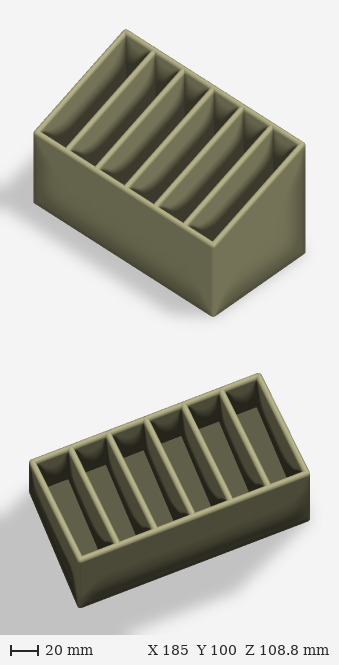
import math

import cadquery as cq

width = 185.0
depth = 100.0
front_height = 70.0
top_slope = 0.4

pocket_count = 6
wall = 5.0
floor = 5.0
wall_pitch = (width - wall) / pocket_count

rim_radius = wall / 2
slope_angle = math.atan(top_slope)
front_y = rim_radius
back_y = depth - rim_radius
left_x = rim_radius
right_x = width - rim_radius
front_axis_z = front_height + top_slope * front_y - rim_radius / math.cos(slope_angle)
back_axis_z = front_axis_z + top_slope * (back_y - front_y)


def rim(start, end):
    """Round bar between two points on the wall middles."""
    start_point = cq.Vector(*start)
    direction = cq.Vector(*end) - start_point
    return cq.Workplane(cq.Solid.makeCylinder(rim_radius, direction.Length, start_point, direction))


def floor_plate():
    """Bottom plate with rounded upright corners."""
    plate = cq.Workplane("XY").box(width, depth, floor, centered=False)
    return plate.edges("|Z").fillet(rim_radius)


def long_wall(middle_y, axis_z):
    """Level front or back wall between the corner posts, with its round rim."""
    plate = cq.Workplane("XY").box(right_x - left_x, wall, axis_z, centered=False)
    plate = plate.translate((left_x, middle_y - rim_radius, 0))
    return plate.union(rim((left_x, middle_y, axis_z), (right_x, middle_y, axis_z)))


def cross_wall(middle_x):
    """Sloping end wall or divider from front to back, with its round rim."""
    side_outline = [
        (front_y, 0),
        (back_y, 0),
        (back_y, back_axis_z),
        (front_y, front_axis_z),
    ]
    plate = cq.Workplane("YZ").polyline(side_outline).close().extrude(wall)
    plate = plate.translate((middle_x - rim_radius, 0, 0))
    return plate.union(rim((middle_x, front_y, front_axis_z), (middle_x, back_y, back_axis_z)))


def corner_post(x, y, axis_z):
    """Rounded outer corner with a ball on top where the rims meet."""
    ball = cq.Workplane("XY").sphere(rim_radius).translate((x, y, axis_z))
    return rim((x, y, 0), (x, y, axis_z)).union(ball)


result = floor_plate()
for index in range(pocket_count + 1):
    result = result.union(cross_wall(left_x + index * wall_pitch))
for y, axis_z in [(front_y, front_axis_z), (back_y, back_axis_z)]:
    result = result.union(long_wall(y, axis_z))
    for x in (left_x, right_x):
        result = result.union(corner_post(x, y, axis_z))
result = result.clean()